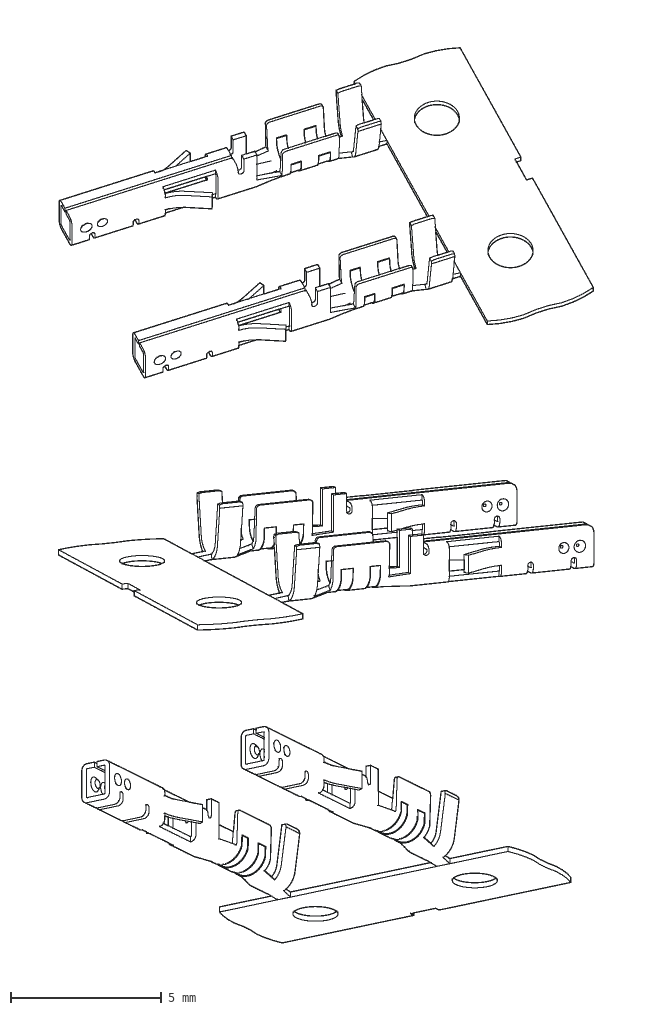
import cadquery as cq
import math


SHEET = 0.18
FAR = 7.65
TOTAL_LENGTH = 15.3

STRIP_WIDTH = 3.82
STRIP_LENGTH = 11.87
STRIP_FRONT = TOTAL_LENGTH - STRIP_WIDTH
STRIP_MIDDLE = STRIP_FRONT + STRIP_WIDTH / 2
CORNER_SET_BACK = 0.21
LOBE_LENGTH = 1.22
END_HOLLOW = 0.06
PILOT_DIAMETER = 1.5
NOTCH_WIDTH = 1.0
NOTCH_DEPTH = 0.21
PITCH = 6.32
TERMINAL_CENTRES = [-PITCH / 2, PITCH / 2]

BOX_WIDTH = 1.1
BOX_HEIGHT = 1.38
BOX_BOTTOM = 0.15
BOX_TOP = BOX_BOTTOM + BOX_HEIGHT
BOX_MIDDLE_Z = (BOX_BOTTOM + BOX_TOP) / 2
BOX_RADIUS = 0.21
BOX_BACK = 6.67
ROOF_BACK = 6.0
SEAM_WIDTH = 0.1
TAB_TOP = 1.9
TAB_FRONT = 6.2
RELIEF_BOTTOM = 1.2
WINDOW_FRONT = 3.37
WINDOW_BACK = 5.26
SLOT_CENTRES = [0.73, 2.31]
SLOT_WIDTH = 0.2
SLOT_TOP = 0.58

DIMPLES = [(0.52, 0.41), (1.1, 0.37)]
DIMPLE_Z = 0.95
DIMPLE_TIP_RADIUS = 0.05
BUMP_TIP_RADIUS = 0.15
BUMP_HEIGHT = 0.1
BUMP_WALL = 0.05
DIMPLE_DEPTH = SHEET

LANCE_BOTTOM = 0.58
LANCE_TOP = 1.2
LANCE_BEND_RADIUS = 1.45
LANCE_ANGLE = 27
LANCE_STRAIGHT = 0.89

WIRE_FRONT = 7.51
WIRE_BACK = 9.56
WIRE_RADIUS = 0.73
WIRE_CENTRE_Z = BOX_BOTTOM + WIRE_RADIUS
WIRE_ARC = 75
WIRE_TOP = 1.87
WIRE_TILT = 2
WIRE_TIP = 0.1
WIRE_CORNER = 0.12
SERRATIONS = [(7.83, 8.2), (8.83, 9.25)]
SERRATION_TOP = 1.05
SERRATION_DEPTH = 0.03

INSULATION_FRONT = 10.15
INSULATION_BACK = 10.99
INSULATION_RADIUS = 0.76
INSULATION_TOP = 2.1
INSULATION_TILT = 8.2
INSULATION_ARC = 90 - INSULATION_TILT
TIP_BEVEL_WIDTH = 0.05
TIP_BEVEL_HEIGHT = 0.14
TIP_END_LENGTH = 0.1
TIP_END_HEIGHT = 0.03

THROAT_TOP = 0.63
THROAT_FLAT = 25
THROAT_SPLIT = 50
WAIST_ARC = 40
NECK_ARC = 24
NECK_WIDTH = 0.52


def block(x_range, y_range, z_range):
    """Axis-aligned block between the given limits."""
    (x0, x1), (y0, y1), (z0, z1) = x_range, y_range, z_range
    return cq.Workplane(cq.Solid.makeBox(x1 - x0, y1 - y0, z1 - z0, cq.Vector(x0, y0, z0)))


def section_plane(y):
    """Cross-section plane at y, with local x along X and local y along Z."""
    return cq.Workplane("XZ", origin=(0, y, 0))


def on_arc(radius, centre_z, angle):
    """Point on a circle about (0, centre_z), angle measured from straight down."""
    turn = math.radians(angle)
    return radius * math.sin(turn), centre_z - radius * math.cos(turn)


def mirrored(half):
    """A feature on the +X side together with its twin on the -X side."""
    return half.union(half.mirror("YZ"))



def make_strip():
    """Flat strip with lobed ends, pilot holes and a notch in the back edge."""
    end = STRIP_LENGTH / 2
    corner = end - CORNER_SET_BACK
    lobe_radius = (LOBE_LENGTH ** 2 + CORNER_SET_BACK ** 2) / (2 * CORNER_SET_BACK)
    half_lobe = LOBE_LENGTH / 2
    lobe_middle = end - lobe_radius + math.sqrt(lobe_radius ** 2 - half_lobe ** 2)
    back = TOTAL_LENGTH
    front = STRIP_FRONT
    strip = (
        cq.Workplane("XY")
        .moveTo(-corner, front)
        .lineTo(corner, front)
        .threePointArc((lobe_middle, front + half_lobe), (end, front + LOBE_LENGTH))
        .threePointArc((end - END_HOLLOW, STRIP_MIDDLE), (end, back - LOBE_LENGTH))
        .threePointArc((lobe_middle, back - half_lobe), (corner, back))
        .lineTo(-corner, back)
        .threePointArc((-lobe_middle, back - half_lobe), (-end, back - LOBE_LENGTH))
        .threePointArc((-end + END_HOLLOW, STRIP_MIDDLE), (-end, front + LOBE_LENGTH))
        .threePointArc((-lobe_middle, front + half_lobe), (-corner, front))
        .close()
        .extrude(SHEET)
    )
    pilots = (
        cq.Workplane("XY")
        .pushPoints([(x, STRIP_MIDDLE) for x in TERMINAL_CENTRES])
        .circle(PILOT_DIAMETER / 2)
        .extrude(SHEET)
    )
    notch = block((-NOTCH_WIDTH / 2, NOTCH_WIDTH / 2), (back - NOTCH_DEPTH, back), (0, SHEET))
    return strip.cut(pilots).cut(notch)



def make_box_shell():
    """Folded square tube with an open seam, upright tabs and a relief slot behind the roof."""
    tube = (
        section_plane(0)
        .center(0, BOX_MIDDLE_Z)
        .rect(BOX_WIDTH, BOX_HEIGHT)
        .extrude(-BOX_BACK)
        .edges("|Y")
        .fillet(BOX_RADIUS)
    )
    bore = (
        section_plane(0)
        .center(0, BOX_MIDDLE_Z)
        .rect(BOX_WIDTH - 2 * SHEET, BOX_HEIGHT - 2 * SHEET)
        .extrude(-BOX_BACK)
        .edges("|Y")
        .fillet(BOX_RADIUS - SHEET)
    )
    seam = block((-SEAM_WIDTH / 2, SEAM_WIDTH / 2), (0, BOX_BACK), (BOX_MIDDLE_Z, BOX_TOP))
    open_back = block((-FAR, FAR), (ROOF_BACK, BOX_BACK), (RELIEF_BOTTOM, BOX_TOP))
    return tube.cut(bore).cut(seam).cut(open_back).union(make_tabs())


def make_tabs():
    """Upright tabs, each joined to the roof side by a strip of wall with a round-bottomed relief slot."""
    outer = BOX_WIDTH / 2
    wall = (outer - SHEET, outer)
    relief_radius = (TAB_FRONT - ROOF_BACK) / 2
    relief_z = RELIEF_BOTTOM + relief_radius
    tab = block(wall, (TAB_FRONT, BOX_BACK), (BOX_MIDDLE_Z, TAB_TOP))
    filler = block(wall, (ROOF_BACK, TAB_FRONT), (BOX_MIDDLE_Z, relief_z))
    relief = (
        cq.Workplane("YZ")
        .center(ROOF_BACK + relief_radius, relief_z)
        .circle(relief_radius)
        .extrude(FAR)
    )
    return mirrored(tab.union(filler.cut(relief)))


def make_side_windows():
    """Cutters that remove both side walls, with their corner bends, beside the lances."""
    return mirrored(block((BOX_WIDTH / 2 - BOX_RADIUS, FAR), (WINDOW_FRONT, WINDOW_BACK), (0, FAR)))


def make_floor_slots():
    """Round-topped slots cut across the floor and the lower side walls."""
    radius = SLOT_WIDTH / 2
    slots = cq.Workplane("YZ")
    for y in SLOT_CENTRES:
        slots = (
            slots.moveTo(y - radius, 0)
            .lineTo(y - radius, SLOT_TOP - radius)
            .threePointArc((y, SLOT_TOP), (y + radius, SLOT_TOP - radius))
            .lineTo(y + radius, 0)
            .close()
        )
    return slots.extrude(FAR, both=True)


def dimple_cone(y, x, base_radius, tip_radius, height):
    """Cone on the +X side pointing inward from x."""
    return cq.Workplane(
        cq.Solid.makeCone(base_radius, tip_radius, height, cq.Vector(x, y, DIMPLE_Z), cq.Vector(-1, 0, 0))
    )


def add_dimples(box):
    """Press dimples into both side walls, each with a bump on the inside."""
    outer = BOX_WIDTH / 2
    for y, diameter in DIMPLES:
        radius = diameter / 2
        bump = dimple_cone(y, outer - SHEET, radius + BUMP_WALL, BUMP_TIP_RADIUS, BUMP_HEIGHT)
        dimple = dimple_cone(y, outer, radius, DIMPLE_TIP_RADIUS, DIMPLE_DEPTH)
        box = box.union(mirrored(bump)).cut(mirrored(dimple))
    return box


def make_lances():
    """Spring arms that bend outward from the front edge of each side window."""
    outer = BOX_WIDTH / 2
    centre_x = outer + LANCE_BEND_RADIUS

    def bend_point(radius, angle):
        """Point on the bend after it has turned through angle."""
        turn = math.radians(angle)
        return centre_x - radius * math.cos(turn), WINDOW_FRONT + radius * math.sin(turn)

    turn = math.radians(LANCE_ANGLE)
    step_x = LANCE_STRAIGHT * math.sin(turn)
    step_y = LANCE_STRAIGHT * math.cos(turn)
    half_angle = LANCE_ANGLE / 2
    inside_radius = LANCE_BEND_RADIUS + SHEET
    lance = (
        cq.Workplane("XY", origin=(0, 0, LANCE_BOTTOM))
        .moveTo(outer, WINDOW_FRONT)
        .threePointArc(bend_point(LANCE_BEND_RADIUS, half_angle), bend_point(LANCE_BEND_RADIUS, LANCE_ANGLE))
        .line(step_x, step_y)
        .line(-SHEET * math.cos(turn), SHEET * math.sin(turn))
        .line(-step_x, -step_y)
        .threePointArc(bend_point(inside_radius, half_angle), (outer - SHEET, WINDOW_FRONT))
        .close()
        .extrude(LANCE_TOP - LANCE_BOTTOM)
    )
    return mirrored(lance)


def make_contact_box():
    """Contact box with its windows, floor slots, dimples and lances."""
    box = make_box_shell().cut(make_side_windows()).cut(make_floor_slots())
    return add_dimples(box).union(make_lances())



def barrel(y_range, radius, centre_z, arc, tilt, top, tip, inset=0):
    """U-shaped crimp barrel: a round bottom with two tilted wings.

    Every surface moves inward by inset, while the wings keep their top height.
    """
    front, back = y_range
    outer = radius - inset
    inner = radius - SHEET - inset
    outer_x, outer_z = on_arc(outer, centre_z, arc)
    inner_x, inner_z = on_arc(inner, centre_z, arc)
    top_x = outer_x + (top - outer_z) * math.tan(math.radians(tilt))
    bottom_z = centre_z - outer
    floor_z = centre_z - inner
    return (
        section_plane(front)
        .moveTo(-top_x, top)
        .lineTo(-outer_x, outer_z)
        .threePointArc((0, bottom_z), (outer_x, outer_z))
        .lineTo(top_x, top)
        .lineTo(top_x - tip, top)
        .lineTo(inner_x, inner_z)
        .threePointArc((0, floor_z), (-inner_x, inner_z))
        .lineTo(-top_x + tip, top)
        .close()
        .extrude(front - back)
    )


def wire_profile(y_range, inset=0):
    """Plain wire barrel over y_range, moved inward by inset."""
    return barrel(y_range, WIRE_RADIUS, WIRE_CENTRE_Z, WIRE_ARC, WIRE_TILT, WIRE_TOP, WIRE_TIP, inset)


def make_wire_barrel():
    """Wire barrel with rounded wing corners and serration bands pressed inward."""
    wire = wire_profile((WIRE_FRONT, WIRE_BACK))
    wire = wire.faces(">Z").edges("|X").fillet(WIRE_CORNER)
    for band in SERRATIONS:
        lower = block((-FAR, FAR), band, (0, SERRATION_TOP))
        upper_wings = wire.cut(lower)
        wire = upper_wings.union(wire_profile(band, SERRATION_DEPTH).intersect(lower))
    return wire


def make_insulation_barrel():
    """Insulation barrel with the outer and end edges of its wing tips bevelled."""
    wings = barrel(
        (INSULATION_FRONT, INSULATION_BACK), INSULATION_RADIUS, INSULATION_RADIUS,
        INSULATION_ARC, INSULATION_TILT, INSULATION_TOP, SHEET,
    )
    outer_edges = wings.faces(">Z").edges(">X or <X")
    bevelled = outer_edges.chamfer(TIP_BEVEL_HEIGHT, TIP_BEVEL_WIDTH)
    return bevelled.faces(">Z").edges("|X").chamfer(TIP_END_HEIGHT, TIP_END_LENGTH)



def ring_section(y, radius, centre_z, outer_angles, inner_angles):
    """Closed section of a round-bottomed channel.

    Each surface is a chain of arcs that meet at the given angles from straight down.
    """
    section = section_plane(y).moveTo(*on_arc(radius, centre_z, outer_angles[0]))
    for start, end in zip(outer_angles, outer_angles[1:]):
        middle = (start + end) / 2
        section = section.threePointArc(on_arc(radius, centre_z, middle), on_arc(radius, centre_z, end))
    inner = radius - SHEET
    section = section.lineTo(*on_arc(inner, centre_z, inner_angles[0]))
    for start, end in zip(inner_angles, inner_angles[1:]):
        middle = (start + end) / 2
        section = section.threePointArc(on_arc(inner, centre_z, middle), on_arc(inner, centre_z, end))
    return section.close().val()


def channel_section(y, radius, centre_z, arc):
    """Channel section that spans arc to each side of the bottom."""
    return ring_section(y, radius, centre_z, [-arc, arc], [arc, -arc])


def make_link(first, second):
    """Straight-sided transition between two sections."""
    return cq.Workplane(cq.Solid.makeLoft([first, second], True))


def make_throat():
    """Channel that changes from the square box floor to the round wire barrel."""
    outer = BOX_WIDTH / 2
    inner = outer - SHEET
    floor = BOX_BOTTOM + SHEET
    corner = outer - BOX_RADIUS
    uncut_top = on_arc(WIRE_RADIUS, WIRE_CENTRE_Z, WIRE_ARC)[1]
    bend = BOX_RADIUS * (1 - math.sqrt(0.5))
    box_end = (
        section_plane(BOX_BACK)
        .moveTo(-outer, uncut_top)
        .lineTo(-outer, BOX_BOTTOM + BOX_RADIUS)
        .threePointArc((-outer + bend, BOX_BOTTOM + bend), (-corner, BOX_BOTTOM))
        .lineTo(corner, BOX_BOTTOM)
        .threePointArc((outer - bend, BOX_BOTTOM + bend), (outer, BOX_BOTTOM + BOX_RADIUS))
        .lineTo(outer, uncut_top)
        .lineTo(inner, uncut_top)
        .lineTo(inner, floor)
        .lineTo(-inner, floor)
        .lineTo(-inner, uncut_top)
        .close()
        .val()
    )
    outer_angles = [-WIRE_ARC, -THROAT_SPLIT, -THROAT_FLAT, THROAT_FLAT, THROAT_SPLIT, WIRE_ARC]
    inner_angles = [WIRE_ARC, THROAT_FLAT, -THROAT_FLAT, -WIRE_ARC]
    wire_end = ring_section(WIRE_FRONT, WIRE_RADIUS, WIRE_CENTRE_Z, outer_angles, inner_angles)
    above = block((-FAR, FAR), (BOX_BACK, WIRE_FRONT), (THROAT_TOP, FAR))
    return make_link(box_end, wire_end).cut(above)


def make_waist():
    """Channel between the two crimp barrels."""
    wire_end = channel_section(WIRE_BACK, WIRE_RADIUS, WIRE_CENTRE_Z, WAIST_ARC)
    insulation_end = channel_section(INSULATION_FRONT, INSULATION_RADIUS, INSULATION_RADIUS, WAIST_ARC)
    return make_link(wire_end, insulation_end)


def make_neck():
    """Neck that flattens from the insulation barrel to the carrier strip."""
    half = NECK_WIDTH / 2
    strip_end = (
        section_plane(STRIP_FRONT)
        .moveTo(-half, 0)
        .lineTo(half, 0)
        .lineTo(half, SHEET)
        .lineTo(-half, SHEET)
        .close()
        .val()
    )
    barrel_end = channel_section(INSULATION_BACK, INSULATION_RADIUS, INSULATION_RADIUS, NECK_ARC)
    return make_link(barrel_end, strip_end)



def make_terminal(x):
    """One complete terminal, formed from a single piece of sheet, centred at x."""
    terminal = (
        make_contact_box()
        .union(make_throat())
        .union(make_wire_barrel())
        .union(make_waist())
        .union(make_insulation_barrel())
        .union(make_neck())
    )
    return terminal.translate((x, 0, 0))


strip = make_strip()
terminals = [make_terminal(x) for x in TERMINAL_CENTRES]

result = cq.Compound.makeCompound([strip.val(), *[terminal.val() for terminal in terminals]])